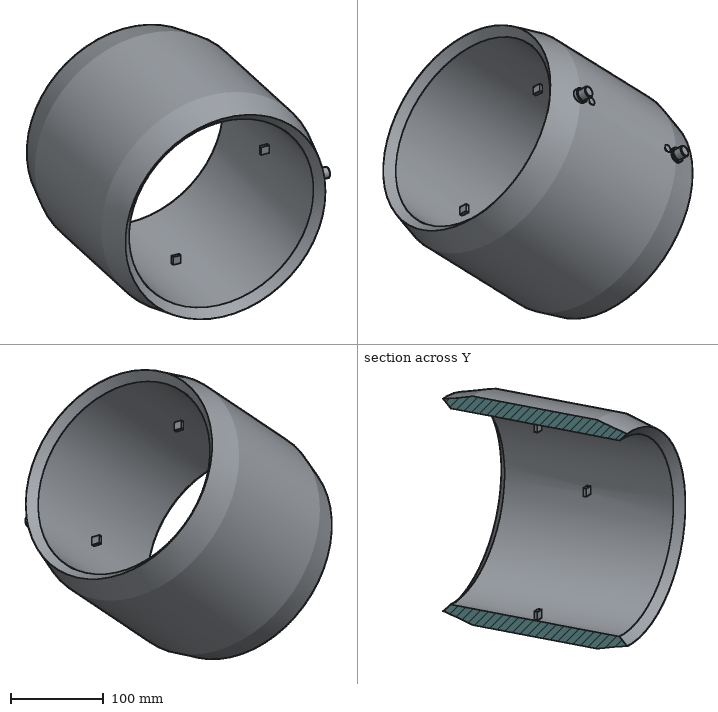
import cadquery as cq

length = 227.3
outer_radius = 131.5
end_radius = 121.8
straight_length = 153.2
bore_radius = 112.0
flare_depth = end_radius - bore_radius

pin_diameter = 12.7
pin_tip_y = 144.0
pin_chamfer = 0.8
collar_diameter = 16.8
collar_height = 2.2
pin_spacing = straight_length

indicator_spacing = 121.2
indicator_top_diameter = 8.5
indicator_base_diameter = 4.0
indicator_height = 2.2

tab_count = 4
tab_width = 9.5
tab_length = 3.9
tab_inner_radius = 102.5

root_depth = 2.8


def make_sleeve():
    half_length = length / 2
    half_straight = straight_length / 2
    bore_end = half_length - flare_depth
    profile = [
        (-half_length, end_radius),
        (-half_straight, outer_radius),
        (half_straight, outer_radius),
        (half_length, end_radius),
        (bore_end, bore_radius),
        (-bore_end, bore_radius),
    ]
    return cq.Workplane("XY").polyline(profile).close().revolve(360, (0, 0, 0), (1, 0, 0))


def wall_cylinder(x, diameter, top_y):
    """Cylinder pointing along +Y, rooted in the sleeve wall."""
    base_y = outer_radius - root_depth
    plane = cq.Plane(origin=(x, base_y, 0), xDir=(1, 0, 0), normal=(0, 1, 0))
    return cq.Workplane(plane).circle(diameter / 2).extrude(top_y - base_y)


def make_terminal(x):
    pin = wall_cylinder(x, pin_diameter, pin_tip_y).faces(">Y").chamfer(pin_chamfer)
    collar = wall_cylinder(x, collar_diameter, outer_radius + collar_height)
    return pin.union(collar)


def make_indicator(x):
    root = wall_cylinder(x, indicator_base_diameter, outer_radius)
    head = cq.Solid.makeCone(
        indicator_base_diameter / 2,
        indicator_top_diameter / 2,
        indicator_height,
        cq.Vector(x, outer_radius, 0),
        cq.Vector(0, 1, 0),
    )
    return root.union(cq.Workplane(obj=head))


def make_tab(angle):
    tab_outer_radius = bore_radius + root_depth
    center_z = (tab_inner_radius + tab_outer_radius) / 2
    tab = cq.Workplane("XY").box(tab_length, tab_width, tab_outer_radius - tab_inner_radius)
    return tab.translate((0, 0, center_z)).rotate((0, 0, 0), (1, 0, 0), angle)


result = make_sleeve()
for side in (-1, 1):
    result = result.union(make_terminal(side * pin_spacing / 2))
    result = result.union(make_indicator(side * indicator_spacing / 2))
for index in range(tab_count):
    result = result.union(make_tab(index * 360 / tab_count))